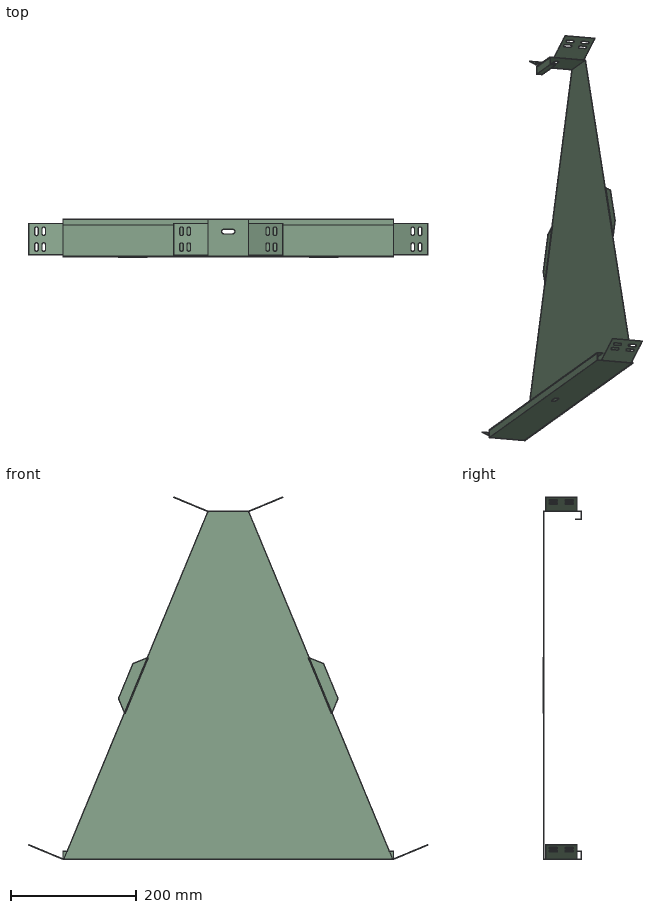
import cadquery as cq
import math

sheet = 0.9
height = 552.87
depth = 60.0
side_angle = 22.5
bottom_half_width = 261.3
top_half_width = bottom_half_width - height * math.tan(math.radians(side_angle))

bottom_flange_overhang = 1.29
bottom_flange_half_width = bottom_half_width + bottom_flange_overhang

lip_height = 13.0
lip_return = 9.5

ear_length = 58.85
ear_start = 3.0
ear_width = 50.0

ear_slot_width = 6.0
ear_slot_length = 13.5
ear_slot_pitch_y = 25.0
ear_slot_pitch_along = 12.5
ear_slot_inset = 13.3
flange_slot_width = 7.0
flange_slot_length = 21.0
flange_slot_y = 40.0

tab_root_length = 95.0
tab_width = 17.5
joggle_width = 1.8


def make_plate():
    """Front sheet: a trapezoid with its front face on Y = 0."""
    outline = [
        (-bottom_half_width, 0),
        (bottom_half_width, 0),
        (top_half_width, height),
        (-top_half_width, height),
    ]
    return cq.Workplane("XZ").polyline(outline).close().extrude(-sheet)


def make_flange(half_width):
    """Horizontal flange on Z = 0 with its lip and return folded upwards."""
    profile = [
        (0, 0),
        (depth, 0),
        (depth, lip_height),
        (depth - lip_return, lip_height),
        (depth - lip_return, lip_height - sheet),
        (depth - sheet, lip_height - sheet),
        (depth - sheet, sheet),
        (0, sheet),
    ]
    return cq.Workplane("YZ").polyline(profile).close().extrude(half_width, both=True)


def make_ear(half_width, base_z):
    """Slotted ear rising outwards from the +X end of a flange."""
    mitre = sheet * math.tan(math.radians(side_angle / 2))
    profile = [
        (0, 0),
        (ear_length, 0),
        (ear_length, sheet),
        (mitre, sheet),
    ]
    ear = cq.Workplane("XZ").polyline(profile).close().extrude(ear_width / 2, both=True)
    slot_group_centre = ear_length - ear_slot_inset - ear_slot_pitch_along / 2
    slots = (
        cq.Workplane("XY")
        .center(slot_group_centre, 0)
        .rarray(ear_slot_pitch_along, ear_slot_pitch_y, 2, 2)
        .slot2D(ear_slot_length, ear_slot_width, 90)
        .extrude(sheet)
    )
    ear = ear.cut(slots).rotate((0, 0, 0), (0, 1, 0), -side_angle)
    return ear.translate((half_width, ear_start + ear_width / 2, base_z))


def make_tab():
    """Tab on the +X sloping side, at half height, stepped one sheet in front of the plate."""
    half_root = tab_root_length / 2
    half_tip = half_root - tab_width
    outline = [
        (-joggle_width, -half_root),
        (0, -half_root),
        (tab_width, -half_tip),
        (tab_width, half_tip),
        (0, half_root),
        (-joggle_width, half_root),
    ]
    section = [
        (-joggle_width, 0),
        (0, -sheet),
        (tab_width, -sheet),
        (tab_width, 0),
    ]
    stepped_bar = cq.Workplane("XY").polyline(section).close().extrude(half_root, both=True)
    tab = cq.Workplane("XZ").polyline(outline).close().extrude(sheet).intersect(stepped_bar)
    side_middle = (bottom_half_width + top_half_width) / 2
    return tab.rotate((0, 0, 0), (0, 1, 0), -side_angle).translate((side_middle, 0, height / 2))


def make_flange_slots():
    """Cutter for the slots at the middle of both flanges."""
    outline = cq.Workplane("XY").center(0, flange_slot_y).slot2D(flange_slot_length, flange_slot_width)
    return outline.extrude(height)


def add_both_sides(body, feature):
    """Join a +X feature and its mirror image to the body."""
    return body.union(feature).union(feature.mirror("YZ"))


bottom_flange = make_flange(bottom_flange_half_width)
top_flange = make_flange(top_half_width).mirror("XY").translate((0, 0, height))

result = make_plate().union(bottom_flange).union(top_flange).cut(make_flange_slots())
result = add_both_sides(result, make_ear(bottom_flange_half_width, 0))
result = add_both_sides(result, make_ear(top_half_width, height - sheet))
result = add_both_sides(result, make_tab())